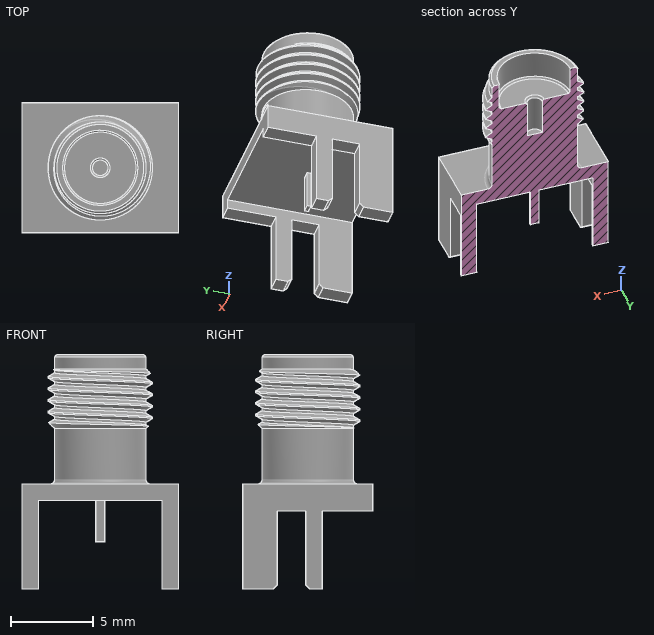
import cadquery as cq
import math


base_length = 9.53
base_width = 7.92
web_thickness = 1.02
wall_thickness = 1.02
wall_height = 1.65
leg_height = 6.40
rear_overhang = 3.07
narrow_leg_width = 1.02
leg_gap = 1.72
leg_chamfer = 0.25

tail_width = 0.56
tail_thickness = 0.25
tail_height = 3.53

overall_height = 14.27
barrel_height = overall_height - leg_height
barrel_radius = 5.58 / 2
barrel_top_chamfer = 0.15
barrel_foot_fillet = 0.25

thread_radius = 6.35 / 2
thread_pitch = 25.4 / 36
thread_start_depth = 0.885
thread_end_depth = 4.50
crest_depth_at_x = 1.741
thread_turns_swept = 7
turns_below_crest = 5
crest_flat = thread_pitch / 8
flank_slope = math.tan(math.radians(30))
blank_seam_angle = 90
thread_root_overlap = 0.08
thread_crest_overlap = 0.05

bore_radius = 4.57 / 2
bore_depth = 1.905
bore_floor_chamfer = 0.115
socket_radius = 0.94 / 2
socket_mouth_radius = 1.19 / 2
socket_depth = 2.54


def make_base():
    """U-shaped plate with a narrow and a wide leg on each side wall."""
    rear = base_width / 2
    front = -base_width / 2
    narrow_rear = rear - rear_overhang
    narrow_front = narrow_rear - narrow_leg_width
    wide_rear = narrow_front - leg_gap
    side_outline = [
        (rear, 0),
        (rear, -wall_height),
        (narrow_rear, -wall_height),
        (narrow_rear, -leg_height),
        (narrow_front + leg_chamfer, -leg_height),
        (narrow_front, -leg_height + leg_chamfer),
        (narrow_front, -wall_height),
        (wide_rear, -wall_height),
        (wide_rear, -leg_height + leg_chamfer),
        (wide_rear - leg_chamfer, -leg_height),
        (front, -leg_height),
        (front, 0),
    ]
    body = cq.Workplane("YZ").polyline(side_outline).close().extrude(base_length / 2, both=True)
    channel = (
        cq.Workplane("XY")
        .workplane(offset=-web_thickness)
        .rect(base_length - 2 * wall_thickness, base_width)
        .extrude(web_thickness - leg_height)
    )
    return body.cut(channel)


def make_tail():
    """Flat solder tail, reaching up into the plate."""
    return cq.Workplane("XY").rect(tail_width, tail_thickness).extrude(-tail_height)


def make_barrel():
    """Barrel with a chamfered mouth and a filleted foot, sunk into the plate."""
    foot_radius = barrel_radius + barrel_foot_fillet
    arc_offset = barrel_foot_fillet * (1 - math.sqrt(0.5))
    return (
        cq.Workplane("XZ")
        .moveTo(0, -web_thickness / 2)
        .lineTo(foot_radius, -web_thickness / 2)
        .lineTo(foot_radius, 0)
        .threePointArc(
            (barrel_radius + arc_offset, arc_offset),
            (barrel_radius, barrel_foot_fillet),
        )
        .lineTo(barrel_radius, barrel_height - barrel_top_chamfer)
        .lineTo(barrel_radius - barrel_top_chamfer, barrel_height)
        .lineTo(0, barrel_height)
        .close()
        .revolve(360, (0, 0, 0), (0, 1, 0))
    )


def make_thread():
    """Helical ridge trimmed to a blank with 45 degree ends."""
    inner = barrel_radius - thread_root_overlap
    outer = thread_radius + thread_crest_overlap
    half_root = crest_flat / 2 + (thread_radius - inner) * flank_slope
    half_tip = crest_flat / 2 - thread_crest_overlap * flank_slope
    start_z = barrel_height - crest_depth_at_x - turns_below_crest * thread_pitch
    helix = cq.Wire.makeHelix(
        thread_pitch, thread_turns_swept * thread_pitch, barrel_radius, lefthand=True
    ).translate(cq.Vector(0, 0, start_z))
    ridge = (
        cq.Workplane("XZ")
        .polyline([
            (inner, start_z - half_root),
            (outer, start_z - half_tip),
            (outer, start_z + half_tip),
            (inner, start_z + half_root),
        ])
        .close()
        .sweep(cq.Workplane(helix), isFrenet=True)
    )
    thread_depth = thread_radius - barrel_radius
    blank = (
        cq.Workplane("XY")
        .workplane(offset=barrel_height - thread_end_depth)
        .circle(thread_radius)
        .extrude(thread_end_depth - thread_start_depth)
        .faces("<Z or >Z")
        .chamfer(thread_depth)
        .rotate((0, 0, 0), (0, 0, 1), blank_seam_angle)
    )
    return ridge.intersect(blank)


def make_bore():
    """Bore with a chamfered floor, and the countersunk contact socket below it."""
    floor_z = barrel_height - bore_depth
    countersink = socket_mouth_radius - socket_radius
    return (
        cq.Workplane("XZ")
        .polyline([
            (0, barrel_height),
            (bore_radius, barrel_height),
            (bore_radius, floor_z + bore_floor_chamfer),
            (bore_radius - bore_floor_chamfer, floor_z),
            (socket_mouth_radius, floor_z),
            (socket_radius, floor_z - countersink),
            (socket_radius, floor_z - socket_depth),
            (0, floor_z - socket_depth),
        ])
        .close()
        .revolve(360, (0, 0, 0), (0, 1, 0))
    )


result = make_base().union(make_tail()).union(make_barrel()).union(make_thread()).cut(make_bore())